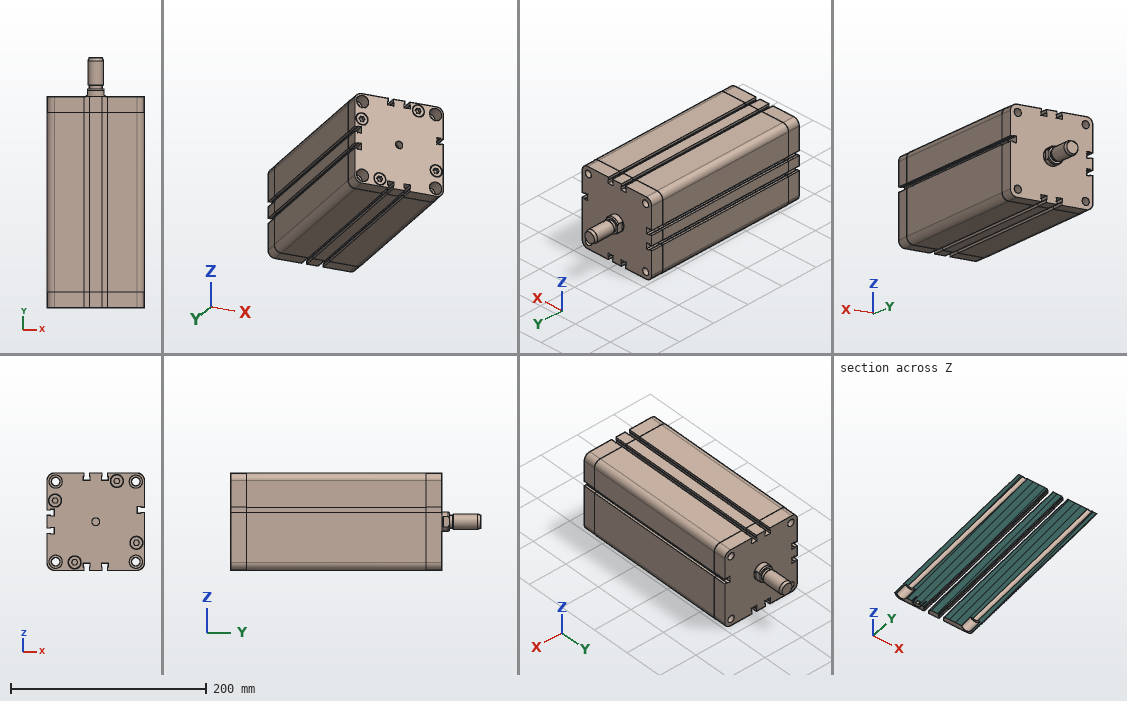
import cadquery as cq
import math

side = 100.0
corner_radius = 8.0
body_length = 216.0
cap_length = 16.0
cap_inset = 0.25
rod_length = 40.0

slot_opening = 5.2
slot_inner_width = 6.6
slot_lip = 3.5
slot_depth = 7.4
paired_slot_offset = 9.25
single_slot_offset = 12.05

mount_offset = 41.0
mount_hole_diameter = 8.57
mount_bore_diameter = 13.5
mount_bore_depth = cap_length

screw_inset = 41.6
screw_shift = 21.6
screw_bore_diameter = 13.5
screw_head_diameter = 12.5
screw_head_gap_depth = 8.0
hex_across_flats = 5.4
hex_depth = 4.0

centre_hole_diameter = 8.0
centre_hole_depth = 10.0

rod_diameter = 20.0
collar_length = 8.0
collar_chamfer_length = 1.6
collar_chamfer = 0.9
flat_across = 17.0
flat_start = 1.6
flat_ramp_start = 0.6
neck_diameter = 13.5
neck_length = 4.0
thread_diameter = 16.0
thread_run_out = 0.8
tip_chamfer = 1.2
tip_chamfer_length = 3.4


def front_plane(y=0.0):
    """Workplane at the given Y with local x = X, local y = Z and its normal toward -Y."""
    return cq.Workplane("XZ", origin=(0, y, 0))


def t_slot(offset, angle, start, length, inset):
    """T-shaped cutter for the top side, turned about the Y axis to the side it belongs to."""
    half_side = side / 2
    half_opening = slot_opening / 2 + inset
    half_inner = slot_inner_width / 2 + inset
    lip_z = half_side - slot_lip - inset
    floor_z = half_side - slot_depth - inset
    outline = [
        (offset - half_opening, half_side),
        (offset - half_opening, lip_z),
        (offset - half_inner, lip_z),
        (offset - half_inner, floor_z),
        (offset + half_inner, floor_z),
        (offset + half_inner, lip_z),
        (offset + half_opening, lip_z),
        (offset + half_opening, half_side),
    ]
    slot = front_plane(start).polyline(outline).close().extrude(-length)
    return slot.rotate((0, 0, 0), (0, 1, 0), angle)


def slotted_block(start, length, inset=0.0):
    """Rounded square length of body whose whole outline, slots included, is set back by the inset."""
    width = side - 2 * inset
    block = front_plane(start).rect(width, width).extrude(-length)
    block = block.edges("|Y").fillet(corner_radius - inset)
    top, right, bottom, left = 0, 90, 180, 270
    for angle in (top, bottom, left):
        for offset in (-paired_slot_offset, paired_slot_offset):
            block = block.cut(t_slot(offset, angle, start, length, inset))
    return block.cut(t_slot(-single_slot_offset, right, start, length, inset))


def mount_holes():
    corners = front_plane().rect(2 * mount_offset, 2 * mount_offset, forConstruction=True).vertices()
    holes = corners.circle(mount_hole_diameter / 2).extrude(-body_length)
    bores = corners.circle(mount_bore_diameter / 2).extrude(-mount_bore_depth)
    return holes.union(bores)


def screw_recesses():
    """Gap around each flush screw head, and its hexagon socket."""
    centres = [
        (screw_shift, screw_inset),
        (-screw_inset, screw_shift),
        (-screw_shift, -screw_inset),
        (screw_inset, -screw_shift),
    ]
    bores = front_plane().pushPoints(centres).circle(screw_bore_diameter / 2).extrude(-screw_head_gap_depth)
    heads = front_plane().pushPoints(centres).circle(screw_head_diameter / 2).extrude(-screw_head_gap_depth)
    hex_across_corners = hex_across_flats / math.cos(math.pi / 6)
    sockets = front_plane().pushPoints(centres).polygon(6, hex_across_corners).extrude(-hex_depth)
    return bores.cut(heads).union(sockets)


def wrench_flat():
    """Cutter for the flat on the +X side of the collar, with a ramp at its start."""
    flat_x = flat_across / 2
    outer_x = rod_diameter
    outline = [
        (flat_x, collar_length),
        (flat_x, flat_start),
        (rod_diameter / 2, flat_ramp_start),
        (outer_x, flat_ramp_start),
        (outer_x, collar_length),
    ]
    return cq.Workplane("XY").polyline(outline).close().extrude(rod_diameter / 2, both=True)


def piston_rod():
    rod_radius = rod_diameter / 2
    neck_radius = neck_diameter / 2
    thread_radius = thread_diameter / 2
    thread_start = collar_length + neck_length
    outline = [
        (0, 0),
        (rod_radius, 0),
        (rod_radius, collar_length - collar_chamfer_length),
        (rod_radius - collar_chamfer, collar_length),
        (neck_radius, collar_length),
        (neck_radius, thread_start - thread_run_out),
        (thread_radius, thread_start),
        (thread_radius, rod_length - tip_chamfer_length),
        (thread_radius - tip_chamfer, rod_length),
        (0, rod_length),
    ]
    rod = cq.Workplane("XY").polyline(outline).close().revolve(360, (0, 0), (0, 1))
    flat = wrench_flat()
    rod = rod.cut(flat).cut(flat.mirror("YZ"))
    return rod.translate((0, body_length, 0))


front_cap = slotted_block(0, cap_length, cap_inset)
barrel = slotted_block(cap_length, body_length - 2 * cap_length)
rear_cap = slotted_block(body_length - cap_length, cap_length, cap_inset)
centre_hole = front_plane().circle(centre_hole_diameter / 2).extrude(-centre_hole_depth)

body = front_cap.union(barrel).union(rear_cap)
body = body.cut(mount_holes()).cut(screw_recesses()).cut(centre_hole)
result = body.union(piston_rod())